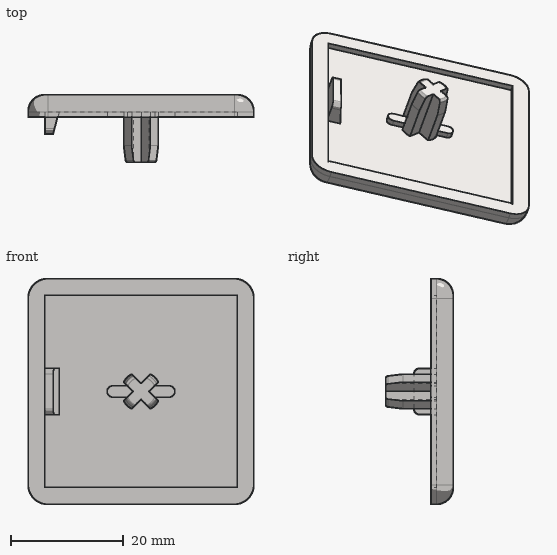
import cadquery as cq

PLATE_SIZE = 40.0
PLATE_THICKNESS = 4.0
CORNER_RADIUS = 3.5
BACK_FILLET = 3.0

RIM_WIDTH = 3.0
RECESS_DEPTH = 1.0
RECESS_SIZE = PLATE_SIZE - 2 * RIM_WIDTH

STEM_RADIUS = 3.5
STEM_REACH = 8.0
ARM_WIDTH = 2.0
ARM_ANGLES = (45, 135)
TAPER_START = 5.0
TAPER_INSET = 0.5
STEM_TIP_FILLET = 0.5

RIB_LENGTH = 12.0
RIB_WIDTH = 2.0

HOOK_REACH = 3.0
HOOK_HEIGHT = 8.2
HOOK_ROOT_WIDTH = 2.5
HOOK_TIP_WIDTH = 1.45
HOOK_FILLET = 1.0


def make_plate():
    """Square plate with rounded corners, filleted back and a recessed front."""
    plate = (
        cq.Workplane("XZ")
        .rect(PLATE_SIZE, PLATE_SIZE)
        .extrude(-PLATE_THICKNESS)
        .edges("|Y")
        .fillet(CORNER_RADIUS)
        .faces(">Y")
        .edges()
        .fillet(BACK_FILLET)
    )
    recess = cq.Workplane("XZ").rect(RECESS_SIZE, RECESS_SIZE).extrude(-RECESS_DEPTH)
    return plate.cut(recess)


def make_stem():
    """Round pin with a tapered, filleted tip, trimmed to a four-armed cross."""
    pin = (
        cq.Workplane("XY")
        .moveTo(0, RECESS_DEPTH)
        .lineTo(STEM_RADIUS, RECESS_DEPTH)
        .lineTo(STEM_RADIUS, -TAPER_START)
        .lineTo(STEM_RADIUS - TAPER_INSET, -STEM_REACH)
        .lineTo(0, -STEM_REACH)
        .close()
        .revolve(360, (0, 0, 0), (0, 1, 0))
        .faces("<Y")
        .edges()
        .fillet(STEM_TIP_FILLET)
    )
    cross = cq.Workplane("XZ")
    for angle in ARM_ANGLES:
        arm = (
            cq.Workplane("XZ", origin=(0, RECESS_DEPTH, 0))
            .rect(2 * STEM_RADIUS, ARM_WIDTH)
            .extrude(RECESS_DEPTH + STEM_REACH)
            .rotate((0, 0, 0), (0, 1, 0), angle)
        )
        cross = cross.add(arm)
    return pin.intersect(cross.combine())


def make_rib():
    """Round-ended rib rising from the recess floor to the rim face."""
    return cq.Workplane("XZ").slot2D(RIB_LENGTH, RIB_WIDTH).extrude(-RECESS_DEPTH)


def make_hook():
    """Wedge with a sloped inner side and rounded tip corners."""
    wall_x = -RECESS_SIZE / 2
    return (
        cq.Workplane("XY")
        .moveTo(wall_x, RECESS_DEPTH)
        .lineTo(wall_x + HOOK_ROOT_WIDTH, RECESS_DEPTH)
        .lineTo(wall_x + HOOK_TIP_WIDTH, -HOOK_REACH)
        .lineTo(wall_x, -HOOK_REACH)
        .close()
        .extrude(HOOK_HEIGHT / 2, both=True)
        .faces("<Y")
        .edges("|X")
        .fillet(HOOK_FILLET)
    )


result = make_plate().union(make_rib()).union(make_stem()).union(make_hook())